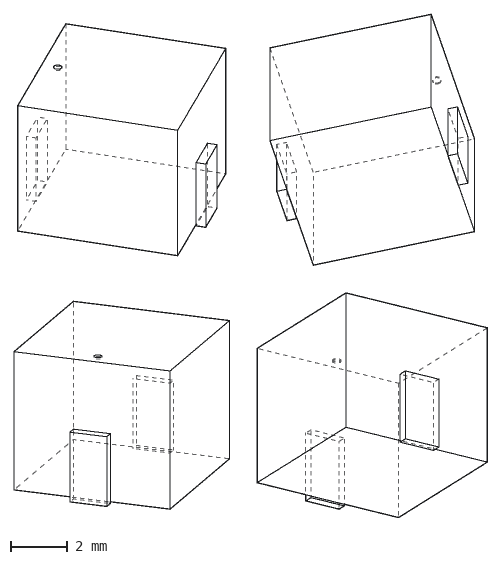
import cadquery as cq

BODY_SIDE = 5.89
TOTAL_LENGTH = 6.6
TOTAL_HEIGHT = 5.21
STANDOFF = 0.06

TERMINAL_WIDTH = 1.39
TERMINAL_HEIGHT = 2.6
TERMINAL_THICKNESS = (TOTAL_LENGTH - BODY_SIDE) / 2

DOT_DIAMETER = 0.29
DOT_DEPTH = 0.05
DOT_EDGE_DISTANCE = 0.59
DOT_X = -BODY_SIDE / 2 + DOT_EDGE_DISTANCE


def make_dot():
    """Disc whose upper face is level with the top of the body."""
    return (
        cq.Workplane("XY", origin=(DOT_X, 0, TOTAL_HEIGHT - DOT_DEPTH))
        .circle(DOT_DIAMETER / 2)
        .extrude(DOT_DEPTH)
    )


def make_body(dot):
    """Square block raised by the standoff, with a recess that the dot fills."""
    block = (
        cq.Workplane("XY", origin=(0, 0, STANDOFF))
        .rect(BODY_SIDE, BODY_SIDE)
        .extrude(TOTAL_HEIGHT - STANDOFF)
    )
    return block.cut(dot)


def make_terminal(side):
    """Flat plate against the X face on the given side (-1 or +1)."""
    center_x = side * (BODY_SIDE + TERMINAL_THICKNESS) / 2
    return (
        cq.Workplane("XY", origin=(center_x, 0, 0))
        .rect(TERMINAL_THICKNESS, TERMINAL_WIDTH)
        .extrude(TERMINAL_HEIGHT)
    )


dot = make_dot()
body = make_body(dot)
terminals = [make_terminal(side) for side in (-1, 1)]

result = cq.Compound.makeCompound(
    [body.val(), dot.val(), *[terminal.val() for terminal in terminals]]
)